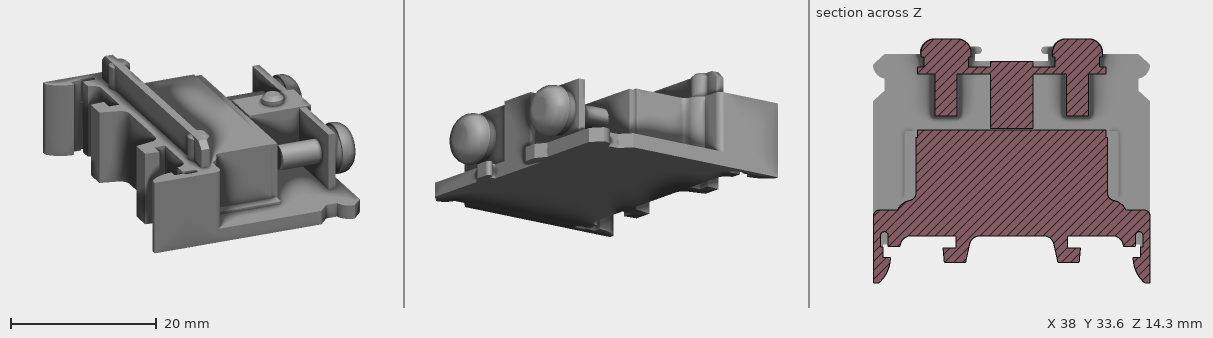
import cadquery as cq
import math

half_width = 19.0
plate_height = 2.0
wall_height = 10.53
fin_height = 14.3

plate_back = 31.43
shoulder_x = 17.4
ear_top_y = 30.0
ear_low_y = 28.05
side_notch_y = 26.4
side_notch_low_y = 24.95
back_recess_x = 4.98
back_recess_y = 30.48

tab_back = 32.45
tab_tip_x = 4.05
tab_radius = (tab_back - plate_back) / 2
tab_flat_end_x = 6.45
tab_foot_x = 8.0

rail_y = 6.5
rail_radius = 1.45
rail_shoulder_y = rail_y - rail_radius
rail_end_x = 13.85
hook_outer_x = 7.7
hook_tip_x = 9.45
hook_tip_y = 4.9
hook_end_x = 9.27
hook_end_y = 2.85
hook_inner_x = 6.3
hook_root_x = 5.5
clip_inner_x = 17.65
clip_lip_x = 16.6
clip_lip_y = 3.57
clip_tip_x = 18.28

slot_inner_x = 17.0
slot_outer_x = 17.97
slot_top_y = 7.05
slot_radius = (slot_outer_x - slot_inner_x) / 2
slot_web_y = 5.3
slot_web_height = 3.7

wall_y = 10.1
wall_corner_radius = 0.87
block_x = 13.2
block_back = 20.03
block_fillet = 0.9

fin_x = 17.0
fin_front = 7.9
fin_back = 9.1
fin_chamfer = 1.03
post_x = 13.45
post_y = 8.95
post_radius = 1.5
post_chamfer = 0.5
post_boss_radius = 2.5

step_x = 14.65
step_back = 20.9
step_height = 2.45
step_front = 10.25
step_fillet = 0.38
strip_x = 12.95
strip_back = 21.05
metal_top = 10.37

center_x = 2.95
center_front = 21.25
stud_y = 26.0
stud_radius = 1.52
stud_height = 11.8
stud_chamfer = 0.57
bar_front = 28.7
bar_back = 29.7
bar_bottom = plate_height + wall_height - metal_top

screw_x = 9.0
screw_z = 6.35
shank_radius = 1.75
shank_end = 22.9
neck_radius = 3.2
head_radius = 3.57
head_seat = 31.05
head_top = 33.6
dome_radius = 1.98


def box(x, y_front, y_back, z_bottom, z_top):
    """Block centred on X = 0 with half width x."""
    size = (2 * x, y_back - y_front, z_top - z_bottom)
    return cq.Workplane("XY").box(*size, centered=(True, False, False)).translate((0, y_front, z_bottom))


def upright_pin(x, y, radius, z_bottom, z_top, chamfer):
    """Round pin along Z with a chamfered top."""
    pin = cq.Workplane("XY").circle(radius).extrude(z_top - z_bottom).faces(">Z").chamfer(chamfer)
    return pin.translate((x, y, z_bottom))


def rod_along_y(radius, y_front, y_back):
    """Round rod along Y on a terminal screw axis."""
    rod = cq.Workplane("XZ").circle(radius).extrude(y_front - y_back)
    return rod.translate((screw_x, y_front, screw_z))


def arc_middle(start, end):
    """Middle of the arc that leaves start parallel to Y and bends in X to reach end."""
    run = end[0] - start[0]
    rise = end[1] - start[1]
    center_offset = (run**2 + rise**2) / (2 * run)
    half_angle = math.atan2(abs(run), abs(rise))
    x = start[0] + center_offset * (1 - math.cos(half_angle))
    y = start[1] + math.copysign(abs(center_offset) * math.sin(half_angle), rise)
    return x, y


def rail_edge(start_y):
    """Lower outline of the right half, from (0, start_y) down and out to the clip tip."""
    hook_run = rail_y - hook_end_y
    slope = math.atan2(hook_run, hook_inner_x - hook_root_x)
    tangent = rail_radius * math.tan(slope / 2)
    slope_start = (hook_root_x + tangent * math.cos(slope), rail_y - tangent * math.sin(slope))
    diagonal = rail_radius * math.sqrt(0.5)
    clip_lip = (clip_lip_x, clip_lip_y)
    clip_tip = (clip_tip_x, 0)
    return (
        cq.Workplane("XY")
        .moveTo(0, start_y)
        .lineTo(0, rail_y)
        .lineTo(hook_root_x - tangent, rail_y)
        .tangentArcPoint(slope_start, relative=False)
        .lineTo(hook_inner_x, hook_end_y)
        .lineTo(hook_end_x, hook_end_y)
        .lineTo(hook_tip_x, hook_tip_y)
        .lineTo(hook_outer_x, hook_tip_y)
        .lineTo(hook_outer_x, rail_y)
        .lineTo(rail_end_x, rail_y)
        .threePointArc(
            (rail_end_x + diagonal, rail_shoulder_y + diagonal),
            (rail_end_x + rail_radius, rail_shoulder_y),
        )
        .lineTo(clip_inner_x, rail_shoulder_y)
        .lineTo(clip_inner_x, clip_lip_y)
        .lineTo(*clip_lip)
        .threePointArc(arc_middle(clip_lip, clip_tip), clip_tip)
        .lineTo(half_width, 0)
    )


def half_plate():
    ear_top = (half_width, ear_top_y)
    ear_low = (shoulder_x, ear_low_y)
    return (
        rail_edge(back_recess_y)
        .lineTo(half_width, side_notch_low_y)
        .lineTo(shoulder_x, side_notch_y)
        .lineTo(*ear_low)
        .threePointArc(arc_middle(ear_top, ear_low), ear_top)
        .lineTo(shoulder_x, plate_back)
        .lineTo(tab_foot_x, plate_back)
        .lineTo(tab_flat_end_x, tab_back)
        .lineTo(tab_tip_x + tab_radius, tab_back)
        .threePointArc((tab_tip_x, plate_back + tab_radius), (tab_tip_x + tab_radius, plate_back))
        .lineTo(back_recess_x, plate_back)
        .lineTo(back_recess_x, back_recess_y)
        .close()
        .extrude(plate_height)
    )


def half_wall():
    """Rail wall, filler block and the bulge around the post, right half."""
    wall = (
        rail_edge(wall_y)
        .lineTo(half_width, wall_y)
        .lineTo(0, wall_y)
        .close()
        .extrude(wall_height)
        .edges(cq.selectors.NearestToPointSelector((half_width, wall_y, wall_height / 2)))
        .fillet(wall_corner_radius)
    )
    bulge = cq.Workplane("XY").center(post_x, post_y).circle(post_boss_radius).extrude(wall_height)
    bulge = bulge.intersect(box(half_width, post_y, block_back, 0, wall_height))
    block = cq.Workplane("XY").rect(block_x, block_back - rail_y, centered=False).extrude(wall_height)
    wall = wall.union(bulge).union(block.translate((0, rail_y, 0)))
    bulge_top_y = post_y + math.sqrt(post_boss_radius**2 - (block_x - post_x) ** 2)
    inner_corner = cq.selectors.NearestToPointSelector((block_x, bulge_top_y, wall_height / 2))
    return wall.edges(inner_corner).fillet(block_fillet)


def half_slot():
    """Relief slot beside the clip, less the web that crosses it."""
    slot = (
        cq.Workplane("XY")
        .moveTo(slot_inner_x, rail_shoulder_y)
        .lineTo(slot_outer_x, rail_shoulder_y)
        .lineTo(slot_outer_x, slot_top_y - slot_radius)
        .threePointArc(
            (slot_outer_x - slot_radius, slot_top_y),
            (slot_inner_x, slot_top_y - slot_radius),
        )
        .close()
        .extrude(wall_height)
    )
    web_bottom = (wall_height - slot_web_height) / 2
    web_top = web_bottom + slot_web_height
    web = box(slot_outer_x, rail_shoulder_y, slot_top_y, web_bottom, web_top)
    web = web.cut(box(clip_inner_x, rail_shoulder_y, slot_web_y, web_bottom, web_top))
    return slot.cut(web)


def screw():
    head = rod_along_y(head_radius, head_seat, head_top).faces(">Y").edges().fillet(dome_radius)
    neck = rod_along_y(neck_radius, bar_back, head_seat)
    shank = rod_along_y(shank_radius, shank_end, bar_back)
    return head.union(neck).union(shank)


step = box(step_x, step_front, step_back, 0, step_height).edges("|Z and >Y").fillet(step_fillet)
strip = box(strip_x, block_back, strip_back, 0, metal_top)
center_post = box(center_x, center_front, back_recess_y, 0, wall_height)
stud = upright_pin(0, stud_y, stud_radius, wall_height, stud_height, stud_chamfer)
bar = box(strip_x, bar_front, bar_back, bar_bottom, metal_top)
fin = box(fin_x, fin_front, fin_back, wall_height, fin_height).edges("|Y and >Z").chamfer(fin_chamfer)

half = half_plate().union(half_wall()).cut(half_slot())
half = half.union(upright_pin(post_x, post_y, post_radius, wall_height, fin_height, post_chamfer))
half = half.union(screw())

result = half.union(half.mirror("YZ"))
for feature in (step, strip, center_post, stud, bar, fin):
    result = result.union(feature)